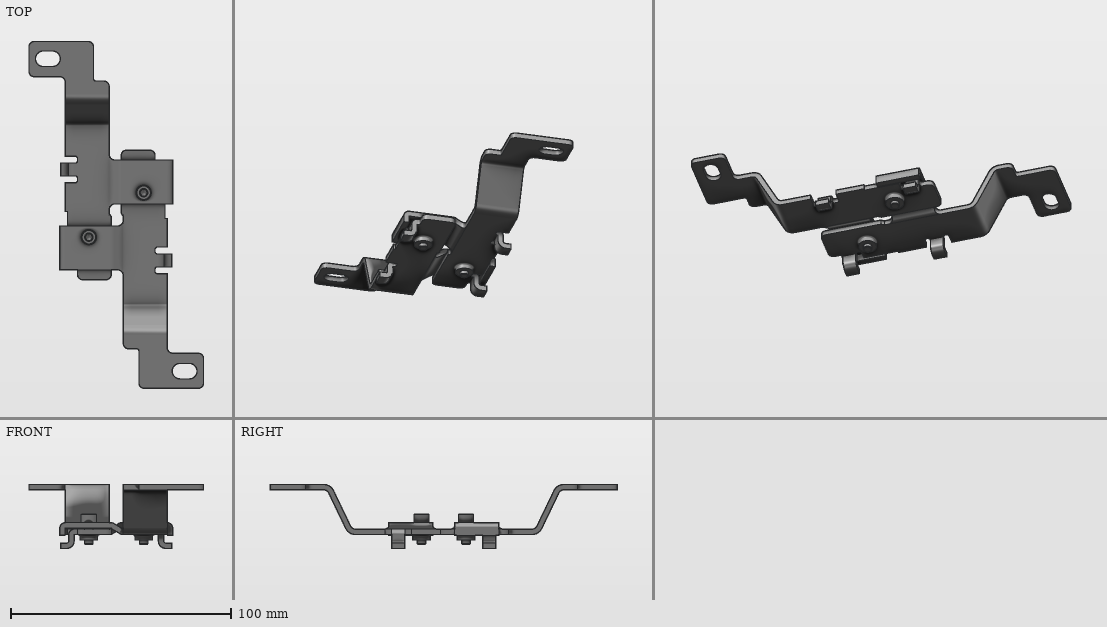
import cadquery as cq
import math


SHEET = 2.5
BEND_INNER = 2.5
JOG_INNER = 0.5
TIGHT_INNER = 0.2
FOOT_INNER = 1.0

PAD_TOP = 20.3
HALF_LENGTH = 78.8
HALF_WIDTH = 39.7
PAD_RIGHT = -10.2
PAD_BOTTOM = 62.7
SHOULDER = 60.8
ARM_UPPER_BEND = 52.2
ARM_LOWER_BEND = 42.4
CORNER_RADIUS = 2.5
SMALL_RADIUS = 1.0
SLOT_X = -31.0
SLOT_Y = 70.9
SLOT_LENGTH = 11.2
SLOT_WIDTH = 7.0

PLATE_LEFT = -23.2
PLATE_RIGHT = -3.2
PLATE_SHIFT = 1.0
LEFT_STEP_Y = 1.5
RIGHT_STEP_TOP = 0.6
RIGHT_STEP_BOTTOM = -0.8
PLATE_END = -29.5

TAB_Y = 20.6
TAB_WIDTH = 6.0
NOTCH_WIDTH = 3.0
NOTCH_INNER_X = -17.7
TAB_OUTER_FACE = -21.6
TAB_END = -25.2
FOOT_BOTTOM = -8.8

FLANGE_GAP = 0.5
FLANGE_CENTER_Y = 15.0
FLANGE_WIDTH = 20.0
FLANGE_ROOT_RADIUS = 2.5
JOG_START = -2.7
JOG_END = 2.0
HOOK_FACE = 25.7
HOOK_BOTTOM = -2.8

SCREW_X = 12.5
SCREW_Y = 10.1
CLEARANCE_DIAMETER = 4.5
COLLAR_DIAMETER = 8.0
COLLAR_HEIGHT = 2.5
COLLAR_FILLET = 1.0
THREAD_DIAMETER = 4.0
TIP_CHAMFER = 0.3
SCREW_LENGTH = 10.0
HEAD_DIAMETER = 7.0
HEAD_HEIGHT = 4.0
HEAD_CHAMFER = 0.4
SOCKET_FLATS = 3.0
SOCKET_DEPTH = 1.5
SOCKET_MOUTH_DIAMETER = 3.8
DRILL_POINT_DEPTH = 0.5

PLATE_MIDDLE = -SHEET / 2
FLANGE_TOP = FLANGE_GAP + SHEET
FLANGE_LOW_Y = FLANGE_CENTER_Y - FLANGE_WIDTH / 2
FLANGE_HIGH_Y = FLANGE_CENTER_Y + FLANGE_WIDTH / 2
END_RIGHT = PLATE_RIGHT + PLATE_SHIFT
END_LEFT = PLATE_LEFT + PLATE_SHIFT


def direction(start, end):
    """Unit vector from one point to another in the plane."""
    run, rise = end[0] - start[0], end[1] - start[1]
    length = math.hypot(run, rise)
    return run / length, rise / length


def rounded_polygon(plane, corners):
    """Closed outline through (u, v, radius) corners; a zero radius leaves the corner sharp."""
    outline = None
    for index, corner in enumerate(corners):
        u, v, radius = corner
        back = direction(corner, corners[index - 1])
        ahead = direction(corner, corners[(index + 1) % len(corners)])
        stops = [(u, v)]
        if radius > 0:
            half_angle = math.acos(back[0] * ahead[0] + back[1] * ahead[1]) / 2
            setback = radius / math.tan(half_angle)
            depth = radius / math.sin(half_angle) - radius
            inward = direction((0, 0), (back[0] + ahead[0], back[1] + ahead[1]))
            stops = [
                (u + back[0] * setback, v + back[1] * setback),
                (u + inward[0] * depth, v + inward[1] * depth),
                (u + ahead[0] * setback, v + ahead[1] * setback),
            ]
        if outline is None:
            outline = cq.Workplane(plane).moveTo(*stops[0])
        else:
            outline = outline.lineTo(*stops[0])
        if radius > 0:
            outline = outline.threePointArc(stops[1], stops[2])
    return outline.close()


def bent_strip(plane, path):
    """Sheet cross-section along a middle line of (u, v, inside bend radius) points."""
    left_side, right_side = [], []
    last = len(path) - 1
    for index, (u, v, inner) in enumerate(path):
        before = direction(path[max(index - 1, 0)], path[max(index, 1)])
        after = direction(path[min(index, last - 1)], path[min(index + 1, last)])
        turn = math.atan2(
            before[0] * after[1] - before[1] * after[0],
            before[0] * after[0] + before[1] * after[1],
        )
        heading = math.atan2(before[1], before[0]) + turn / 2
        offset = SHEET / 2 / math.cos(turn / 2)
        shift_u, shift_v = -math.sin(heading) * offset, math.cos(heading) * offset
        is_bend = 0 < index < last
        left_radius = inner + (SHEET if turn < 0 else 0) if is_bend else 0
        right_radius = inner + (SHEET if turn > 0 else 0) if is_bend else 0
        left_side.append((u + shift_u, v + shift_v, left_radius))
        right_side.append((u - shift_u, v - shift_v, right_radius))
    return rounded_polygon(plane, left_side + right_side[::-1])


def y_span(profile, low, high):
    """Extrude an XZ profile so that it fills Y from low to high."""
    return profile.extrude(high - low).translate((0, high, 0))


def z_prism(outline):
    """Extrude a plan outline through the full height of the bracket."""
    return outline.extrude(PAD_TOP - FOOT_BOTTOM).translate((0, 0, FOOT_BOTTOM))


def arm_and_plate():
    """Fixing pad, sloped arm and low plate, cut from one strip bent about X."""
    pad_middle = PAD_TOP - SHEET / 2
    strip = bent_strip("YZ", [
        (HALF_LENGTH, pad_middle, 0),
        (ARM_UPPER_BEND, pad_middle, BEND_INNER),
        (ARM_LOWER_BEND, PLATE_MIDDLE, BEND_INNER),
        (PLATE_END, PLATE_MIDDLE, 0),
    ]).extrude(HALF_WIDTH).translate((-HALF_WIDTH, 0, 0))
    outline = rounded_polygon("XY", [
        (-HALF_WIDTH, HALF_LENGTH, CORNER_RADIUS),
        (PAD_RIGHT, HALF_LENGTH, CORNER_RADIUS),
        (PAD_RIGHT, SHOULDER, SMALL_RADIUS),
        (PLATE_RIGHT, SHOULDER, CORNER_RADIUS),
        (PLATE_RIGHT, RIGHT_STEP_TOP, 0),
        (END_RIGHT, RIGHT_STEP_BOTTOM, 0),
        (END_RIGHT, PLATE_END, CORNER_RADIUS),
        (NOTCH_INNER_X, PLATE_END, CORNER_RADIUS),
        (NOTCH_INNER_X, -TAB_Y - TAB_WIDTH / 2, SMALL_RADIUS),
        (END_LEFT, -TAB_Y - TAB_WIDTH / 2, 0),
        (END_LEFT, LEFT_STEP_Y, 0),
        (PLATE_LEFT, LEFT_STEP_Y, 0),
        (PLATE_LEFT, PAD_BOTTOM, CORNER_RADIUS),
        (-HALF_WIDTH, PAD_BOTTOM, CORNER_RADIUS),
    ])
    slot = cq.Workplane("XY").center(SLOT_X, SLOT_Y).slot2D(SLOT_LENGTH, SLOT_WIDTH)
    return strip.intersect(z_prism(outline)).cut(z_prism(slot))


def notch(center_y):
    """Relief beside a tab, open to the plate edge, with rounded inner corners."""
    low, high = center_y - NOTCH_WIDTH / 2, center_y + NOTCH_WIDTH / 2
    return z_prism(rounded_polygon("XY", [
        (TAB_END, low, 0),
        (NOTCH_INNER_X, low, SMALL_RADIUS),
        (NOTCH_INNER_X, high, SMALL_RADIUS),
        (TAB_END, high, 0),
    ]))


def add_tabs(body):
    """Two tabs folded down from the plate edge and out into a foot."""
    wall_middle = TAB_OUTER_FACE + SHEET / 2
    foot_middle = FOOT_BOTTOM + SHEET / 2
    fold_start = TAB_OUTER_FACE + SHEET + TIGHT_INNER
    for center_y in (TAB_Y, -TAB_Y):
        low, high = center_y - TAB_WIDTH / 2, center_y + TAB_WIDTH / 2
        opening = cq.Workplane("XZ").moveTo(TAB_END, -SHEET).lineTo(fold_start, -SHEET)
        opening = opening.lineTo(fold_start, 0).lineTo(TAB_END, 0).close()
        tab = bent_strip("XZ", [
            (NOTCH_INNER_X, PLATE_MIDDLE, 0),
            (wall_middle, PLATE_MIDDLE, TIGHT_INNER),
            (wall_middle, foot_middle, FOOT_INNER),
            (TAB_END, foot_middle, 0),
        ])
        body = body.cut(y_span(opening, low, high)).union(y_span(tab, low, high))
    notch_offset = (TAB_WIDTH + NOTCH_WIDTH) / 2
    for center_y in (TAB_Y + notch_offset, TAB_Y - notch_offset, notch_offset - TAB_Y):
        body = body.cut(notch(center_y))
    return body


def flange():
    """Raised side flange, jogged up from the plate and hooked down over its far edge."""
    flange_middle = FLANGE_TOP - SHEET / 2
    hook_middle = HOOK_FACE - SHEET / 2
    root = FLANGE_ROOT_RADIUS
    low_end = FLANGE_LOW_Y - 2 * root
    high_end = FLANGE_HIGH_Y + 2 * root
    inside = PLATE_RIGHT - SHEET
    strip = bent_strip("XZ", [
        (inside, PLATE_MIDDLE, 0),
        (JOG_START, PLATE_MIDDLE, JOG_INNER),
        (JOG_END, flange_middle, JOG_INNER),
        (hook_middle, flange_middle, TIGHT_INNER),
        (hook_middle, HOOK_BOTTOM, 0),
    ])
    outline = rounded_polygon("XY", [
        (inside, low_end, 0),
        (PLATE_RIGHT, low_end, 0),
        (PLATE_RIGHT, FLANGE_LOW_Y, root),
        (HOOK_FACE, FLANGE_LOW_Y, 0),
        (HOOK_FACE, FLANGE_HIGH_Y, 0),
        (PLATE_RIGHT, FLANGE_HIGH_Y, root),
        (PLATE_RIGHT, high_end, 0),
        (inside, high_end, 0),
    ])
    clearance = cq.Workplane("XY").center(SCREW_X, SCREW_Y).circle(CLEARANCE_DIAMETER / 2)
    sheet = y_span(strip, low_end, high_end)
    return sheet.intersect(z_prism(outline)).cut(z_prism(clearance))


def add_collar(body):
    """Threaded collar drawn down from the plate, blended into its underside."""
    radius = COLLAR_DIAMETER / 2
    bottom = -SHEET - COLLAR_HEIGHT
    blend = COLLAR_FILLET
    arc_inset = blend * (1 - math.sqrt(0.5))
    section = (
        cq.Workplane("XZ")
        .lineTo(radius + blend, 0)
        .lineTo(radius + blend, -SHEET)
        .threePointArc((radius + arc_inset, -SHEET - arc_inset), (radius, -SHEET - blend))
        .lineTo(radius, bottom)
        .lineTo(0, bottom)
        .close()
    )
    collar = section.revolve(360, (0, 0, 0), (0, 1, 0))
    bore = cq.Workplane("XY").circle(THREAD_DIAMETER / 2).extrude(bottom)
    place = (-SCREW_X, -SCREW_Y, 0)
    return body.union(collar.translate(place)).cut(bore.translate(place))


def bracket():
    """Complete bent sheet bracket."""
    body = add_tabs(arm_and_plate()).union(flange())
    return add_collar(body)


def socket():
    """Hexagon socket with a chamfered mouth and a drill point, in place below the head top."""
    across_corners = SOCKET_FLATS / math.cos(math.pi / 6)
    mouth_radius = SOCKET_MOUTH_DIAMETER / 2
    floor = HEAD_HEIGHT - SOCKET_DEPTH
    hexagon = cq.Workplane("XY").workplane(offset=floor).polygon(6, across_corners)
    hexagon = hexagon.extrude(SOCKET_DEPTH)
    mouth = cq.Workplane("XZ").moveTo(0, HEAD_HEIGHT).lineTo(mouth_radius, HEAD_HEIGHT)
    mouth = mouth.lineTo(0, HEAD_HEIGHT - mouth_radius).close().revolve(360, (0, 0, 0), (0, 1, 0))
    point = cq.Workplane("XZ").moveTo(0, floor).lineTo(SOCKET_FLATS / 2, floor)
    point = point.lineTo(0, floor - DRILL_POINT_DEPTH).close().revolve(360, (0, 0, 0), (0, 1, 0))
    return hexagon.union(mouth).union(point)


def screw():
    """Socket head cap screw whose head bears on the flange."""
    head = cq.Workplane("XY").circle(HEAD_DIAMETER / 2).extrude(HEAD_HEIGHT)
    head = head.faces(">Z").edges().chamfer(HEAD_CHAMFER)
    shank = cq.Workplane("XY").circle(THREAD_DIAMETER / 2).extrude(-SCREW_LENGTH)
    shank = shank.faces("<Z").edges().chamfer(TIP_CHAMFER)
    return head.union(shank).cut(socket()).translate((SCREW_X, SCREW_Y, FLANGE_TOP))


bodies = []
for turn_angle in (0, 180):
    for part in (bracket(), screw()):
        bodies.append(part.rotate((0, 0, 0), (0, 0, 1), turn_angle).solids().val())

result = cq.Compound.makeCompound(bodies)